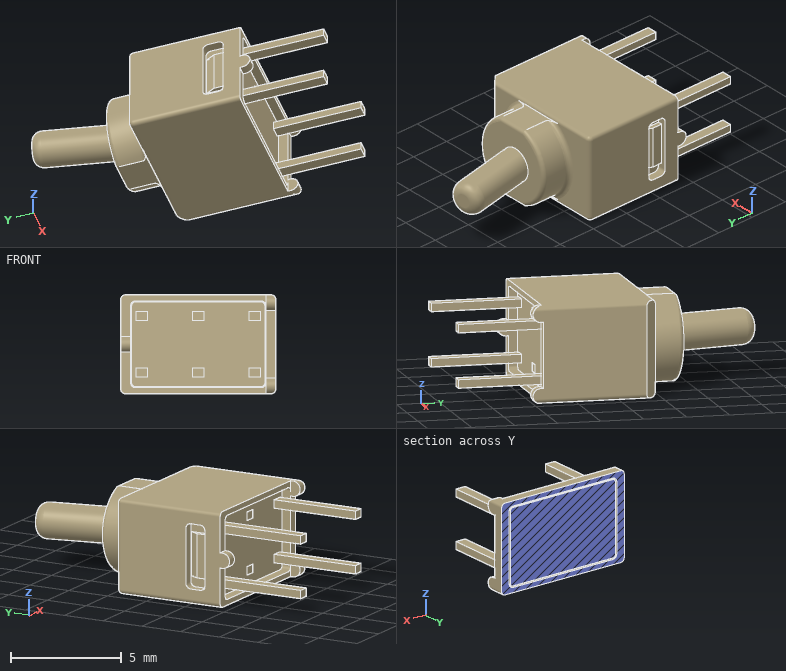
import cadquery as cq
import math


body_width = 7.0
body_height = 4.47
body_depth = 5.34
edge_radius = 0.22
corner_chamfer = 0.53

side_wall = 0.45
top_wall = 0.28
recess_depth = 0.42
recess_radius = 0.22

gap_width = 0.05
gap_depth = 0.15

tab_diameter = 0.72
tab_height = 0.48

window_bottom = 0.79
window_width = 0.98
window_length = 3.04
window_radius = 0.25
latch_length = 2.06
latch_rise = 0.22
latch_land = 0.53
latch_run = 0.42

pin_width = 0.53
pin_thickness = 0.4
pin_pitch = 2.55
pin_reach = 3.77
stub_height = 0.01

collar_radius = 2.16
collar_length = 1.58
collar_half_height = body_height / 2 - edge_radius
collar_fillet = 0.22
flare_radius = 0.25

lever_diameter = 1.68
lever_tilt = 12
pivot_y = 5.82
lever_length = 5.06
lever_tip_radius = 0.5


def block(x_range, y_range, z_range):
    """Box spanning the given (low, high) ranges."""
    lows, highs = zip(x_range, y_range, z_range)
    sizes = [high - low for low, high in zip(lows, highs)]
    return cq.Workplane("XY").box(*sizes, centered=False).translate(lows)


def column(y_start, y_end):
    """Column of the housing outline along Y, with rounded long edges."""
    sides = (-body_width / 2, body_width / 2)
    heights = (-body_height / 2, body_height / 2)
    return block(sides, (y_start, y_end), heights).edges("|Y").fillet(edge_radius)


def make_housing():
    """Block chamfered at its front +X corner, with rounded long edges and front edges."""
    housing = block(
        (-body_width / 2, body_width / 2),
        (0, body_depth),
        (-body_height / 2, body_height / 2),
    )
    housing = housing.edges(">X and >Y").chamfer(corner_chamfer)
    housing = housing.edges("|Y").fillet(edge_radius)
    return housing.faces(">Y").edges("<X or >Z or <Z").fillet(edge_radius)


def recess_block(y_start, y_end, clearance):
    """Rounded block that fits the recess with the given clearance to its walls."""
    half_width = body_width / 2 - side_wall - clearance
    half_height = body_height / 2 - top_wall - clearance
    fitted = block((-half_width, half_width), (y_start, y_end), (-half_height, half_height))
    return fitted.edges("|Y").fillet(recess_radius - clearance)


def make_recess():
    """Recess whose floor is surrounded by the deeper gap along the walls."""
    gap_floor = recess_depth + gap_depth
    terminal_base = recess_block(recess_depth, gap_floor, gap_width)
    return recess_block(0, gap_floor, 0).cut(terminal_base)


def make_tab(x_start, z_center):
    """Round-ended tab as thick as the side wall, starting at x_start."""
    radius = tab_diameter / 2
    shoulder = radius - tab_height
    profile = (
        cq.Workplane("YZ", origin=(x_start, 0, z_center))
        .moveTo(0, -radius)
        .lineTo(shoulder, -radius)
        .threePointArc((-tab_height, 0), (shoulder, radius))
        .lineTo(0, radius)
        .close()
    )
    return profile.extrude(side_wall)


def make_tabs():
    corner_z = (body_height - tab_diameter) / 2
    tabs = make_tab(-body_width / 2, 0)
    for z_center in (-corner_z, corner_z):
        tabs = tabs.union(make_tab(body_width / 2 - side_wall, z_center))
    return tabs.intersect(column(-tab_height, 0))


def make_window():
    window = block(
        (-body_width / 2, side_wall - body_width / 2),
        (window_bottom, window_bottom + window_width),
        (-window_length / 2, window_length / 2),
    )
    return window.edges("|X").fillet(window_radius)


def make_latch():
    """Flat land next to the back of the window, sloping down to the window floor towards +Y."""
    floor_x = side_wall - body_width / 2
    land_end = window_bottom + latch_land
    profile = [
        (floor_x, window_bottom),
        (floor_x - latch_rise, window_bottom),
        (floor_x - latch_rise, land_end),
        (floor_x, land_end + latch_run),
    ]
    latch = cq.Workplane("XY").polyline(profile).close()
    return latch.extrude(latch_length / 2, both=True)


def make_terminals():
    """Two rows of three terminals: long outer pins and a trimmed stub in the middle."""
    terminals = cq.Workplane("XY")
    for column_index in (-1, 0, 1):
        x = column_index * pin_pitch
        tip_y = recess_depth - stub_height if column_index == 0 else -pin_reach
        for z in (-pin_pitch / 2, pin_pitch / 2):
            pin = block(
                (x - pin_width / 2, x + pin_width / 2),
                (tip_y, recess_depth),
                (z - pin_thickness / 2, z + pin_thickness / 2),
            )
            terminals = terminals.union(pin)
    return terminals


def make_collar():
    """Round collar with two flats and a concave flare where it meets the housing."""
    front_y = body_depth + collar_length
    barrel = cq.Workplane("XZ", origin=(0, front_y, 0)).circle(collar_radius).extrude(collar_length)
    flats = block(
        (-body_width / 2, body_width / 2),
        (body_depth, front_y),
        (-collar_half_height, collar_half_height),
    )
    barrel = barrel.intersect(flats).faces(">Y").edges().fillet(collar_fillet)

    arc_offset = flare_radius * (1 - math.sqrt(0.5))
    flare = (
        cq.Workplane("XY")
        .moveTo(0, body_depth)
        .lineTo(collar_radius + flare_radius, body_depth)
        .threePointArc(
            (collar_radius + arc_offset, body_depth + arc_offset),
            (collar_radius, body_depth + flare_radius),
        )
        .lineTo(0, body_depth + flare_radius)
        .close()
        .revolve(360, (0, 0, 0), (0, 1, 0))
    )
    return barrel.union(flare.intersect(flats))


def make_lever():
    lever = cq.Workplane("XZ").circle(lever_diameter / 2).extrude(-lever_length)
    lever = lever.faces(">Y").edges().fillet(lever_tip_radius)
    return lever.rotate((0, 0, 0), (0, 0, 1), lever_tilt).translate((0, pivot_y, 0))


result = (
    make_housing()
    .cut(make_recess())
    .cut(make_window())
    .union(make_latch())
    .union(make_tabs())
    .union(make_terminals())
    .union(make_collar())
    .union(make_lever())
)